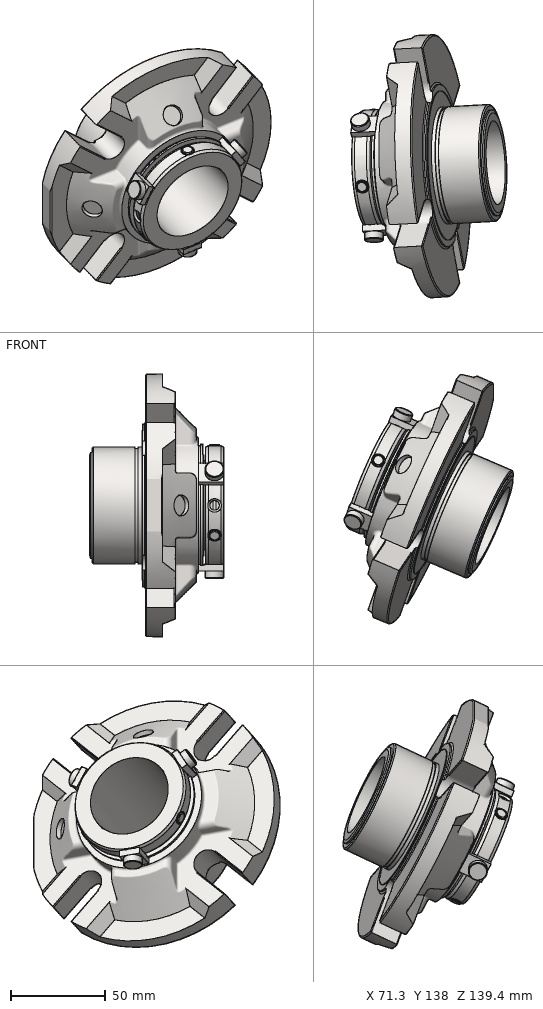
import cadquery as cq
import math

TOWARD_FRONT = 90
TOWARD_BACK = 270
QUARTERS = (0, 90, 180, 270)
THIRDS = (0, 120, 240)
tolerance = 0.1

bore_r = 44.5 / 2
sleeve_r = 62.2 / 2
nose_r = 56.3 / 2
nose_face_r = 53 / 2
nose_length = 1.4
nose_chamfer = 0.5
sleeve_chamfer = 0.7
neck_r = 47.5 / 2
groove_r = 60.4 / 2
groove_start = 24.0
groove_width = 1.8

gasket_r = 79.3 / 2
gasket_x = 27.8
spigot_r = 43.2
spigot_x = 28.2
spigot_root_r = 44.3
spigot_root_length = 0.5

flange_r = 69.7
flange_back = 29.5
flange_front = 38.8
edge_chamfer = 0.7
flat_offset = 68.3

pad_front = 45.5
pad_top_half = 17.7
pad_base_half = 23.3
slot_width = 14.2
slot_center_r = 47.4
slot_chamfer = 0.5

cone_base_r = 58.5
hub_r = 35.8
hub_end = 57.7
lug_width = 34.3
lug_end = 56.6
short_lug_end = 53.5
lug_corner_r = 3.5
pocket_fillet = 1.4
lug_edge_fillet = 1.1
port_d = 11.0
port_depth = 2.6
front_port_x = 48.7
top_port_x = 51.7

shoulder_r = 31.8
shoulder_end = 58.8
disc_r = 65.0 / 2
disc_end = 60.1
step_r = 26.8
step_end = 60.7

collar_r = 63.5 / 2
collar_start = 61.4
collar_end = 71.3
collar_chamfer_length = 1.7
collar_chamfer_depth = 0.8
collar_mid = (collar_start + collar_end) / 2
screw_sink_d = 7.5
screw_d = 6.0
screw_tip_d = 5.0
screw_tip_chamfer = (screw_d - screw_tip_d) / 2
screw_tip_r = 32.2
screw_sink_depth = 1.3
driver_slot = 1.5
driver_slot_depth = 0.7
clip_width = 11.5
clip_inner_r = 31.4
clip_outer_r = 34.9
clip_head_d = 10.0
clip_head_r = 38.8
clip_head_chamfer = 0.4


def turned(points):
    """Solid of revolution about X from (x, radius) points."""
    return cq.Workplane("XY").polyline(points).close().revolve(360, (0, 0, 0), (1, 0, 0))


def turned_to(solid, angle):
    """Turn a solid built pointing along +Z to another direction around X."""
    return solid.rotate((0, 0, 0), (1, 0, 0), angle)


def radial_prism(section, inner_r, outer_r):
    """Prism along +Z from a section of (x, y) points."""
    prism = cq.Workplane("XY").workplane(offset=inner_r).polyline(section).close()
    return prism.extrude(outer_r - inner_r)


def radial_rod(x, diameter, inner_r, outer_r):
    """Round rod along +Z at the axial place x."""
    rod = cq.Workplane("XY").workplane(offset=inner_r).center(x, 0).circle(diameter / 2)
    return rod.extrude(outer_r - inner_r)


def cone_r(x):
    """Radius of the 45 degree gland cone."""
    return cone_base_r - (x - flange_front)


def make_flange():
    """Disc with four raised bolt pads, trimmed to the rim and the flat."""
    blank_r = flange_r + 7
    flange = turned([
        (flange_back, 0),
        (flange_back, blank_r),
        (flange_front, blank_r),
        (flange_front, 0),
    ])
    pad = radial_prism([
        (flange_back, -pad_base_half),
        (flange_front, -pad_base_half),
        (pad_front, -pad_top_half),
        (pad_front, pad_top_half),
        (flange_front, pad_base_half),
        (flange_back, pad_base_half),
    ], hub_r, blank_r - 1.4)
    for angle in QUARTERS:
        flange = flange.union(turned_to(pad, angle + 45), clean=False)
    rim = turned([
        (flange_back, 0),
        (flange_back, flange_r - edge_chamfer),
        (flange_back + edge_chamfer, flange_r),
        (pad_front, flange_r),
        (pad_front, 0),
    ])
    flat_cut = (
        cq.Workplane("XY")
        .polyline([
            (flange_back, -flat_offset + edge_chamfer),
            (flange_back + edge_chamfer, -flat_offset),
            (flange_front - edge_chamfer, -flat_offset),
            (flange_front, -flat_offset + edge_chamfer),
            (flange_front, -blank_r),
            (flange_back, -blank_r),
        ])
        .close()
        .extrude(pad_top_half, both=True)
    )
    return flange.intersect(rim, clean=False).cut(flat_cut, clean=False)


def make_lug(end):
    """Block along +Z with a rounded outer end."""
    lug = radial_prism([
        (flange_back, -lug_width / 2),
        (end, -lug_width / 2),
        (end, lug_width / 2),
        (flange_back, lug_width / 2),
    ], 0, flange_r)
    return lug.edges("|Z and >X").fillet(lug_corner_r)


def is_pocket_corner(edge):
    """True for the inside corners where a lug, the hub and the pocket floor meet."""
    box = edge.BoundingBox()
    middle = edge.Center()
    beside_lug = min(abs(middle.y), abs(middle.z)) > lug_width / 4
    above_floor = box.xmin > pad_front - tolerance
    on_floor = box.xmax < pad_front + tolerance
    middle_r = math.hypot(middle.y, middle.z)
    touches_hub = middle_r < hub_r + 1.4
    touches_rim = middle_r > cone_base_r
    return beside_lug and above_floor and (touches_hub or on_floor) and not touches_rim


def make_gland():
    """Lugs and hub on a round base, rounded in the pockets and trimmed to the cone."""
    gland = turned([
        (flange_back, 0),
        (flange_back, flange_r),
        (pad_front, flange_r),
        (pad_front, hub_r),
        (hub_end, hub_r),
        (hub_end, 0),
    ])
    for angle in QUARTERS:
        end = short_lug_end if angle == TOWARD_BACK else lug_end
        gland = gland.union(turned_to(make_lug(end), angle), clean=False)
    blank_r = cone_base_r + 5.6
    blank = cq.Workplane("YZ").circle(blank_r).extrude(collar_end)
    gland = gland.clean().intersect(blank)
    gland = gland.edges().filter(is_pocket_corner).fillet(pocket_fillet)

    envelope = turned([
        (flange_back, 0),
        (flange_back, cone_base_r),
        (flange_front, cone_base_r),
        (hub_end, cone_r(hub_end)),
        (hub_end, 0),
    ])
    gland = gland.intersect(envelope)
    return gland.edges("%HYPERBOLA").fillet(lug_edge_fillet)


def make_slot_cut():
    """Open bolt slot along +Z with a round inner end and chamfered straight edges."""
    half = slot_width / 2
    wide = half + slot_chamfer
    slot = radial_prism([
        (flange_back, -wide),
        (flange_back + slot_chamfer, -half),
        (pad_front - slot_chamfer, -half),
        (pad_front, -wide),
        (pad_front, wide),
        (pad_front - slot_chamfer, half),
        (flange_back + slot_chamfer, half),
        (flange_back, wide),
    ], slot_center_r, flange_r + 1.4)
    inner_end = (
        cq.Workplane("YZ")
        .center(0, slot_center_r)
        .circle(half)
        .extrude(pad_front)
    )
    return slot.union(inner_end)


def make_port_cut(x):
    """Shallow round recess square to the cone, on the +Z lug."""
    mouth = cq.Plane(origin=(x, 0, cone_r(x)), xDir=(0, 1, 0), normal=(1, 0, 1))
    return cq.Workplane(mouth).circle(port_d / 2).extrude(-port_depth)


def make_back_spigot():
    """Gasket face and spigot, flared where it joins the flange."""
    return turned([
        (gasket_x, 0),
        (gasket_x, gasket_r),
        (spigot_x, gasket_r),
        (spigot_x, spigot_r),
        (flange_back - spigot_root_length, spigot_r),
        (flange_back, spigot_root_r),
        (flange_back, 0),
    ])


def make_sleeve():
    """Shaft sleeve with the rings behind the hub and the drive collar, without its bore."""
    return turned([
        (0, 0),
        (0, nose_face_r),
        (nose_chamfer, nose_r),
        (nose_length, nose_r),
        (nose_length, sleeve_r - sleeve_chamfer),
        (nose_length + sleeve_chamfer, sleeve_r),
        (groove_start, sleeve_r),
        (groove_start, groove_r),
        (groove_start + groove_width, groove_r),
        (groove_start + groove_width, sleeve_r),
        (hub_end, sleeve_r),
        (hub_end, shoulder_r),
        (shoulder_end, shoulder_r),
        (shoulder_end, disc_r),
        (disc_end, disc_r),
        (disc_end, step_r),
        (step_end, step_r),
        (step_end, neck_r),
        (collar_start, neck_r),
        (collar_start, collar_r - collar_chamfer_depth),
        (collar_start + collar_chamfer_length, collar_r),
        (collar_end - collar_chamfer_length, collar_r),
        (collar_end, collar_r - collar_chamfer_depth),
        (collar_end, 0),
    ])


def make_clip():
    """Setting clip along +Z: a plate from the hub to the collar end, with a screw head."""
    plate = radial_prism([
        (hub_end, -clip_width / 2),
        (collar_end, -clip_width / 2),
        (collar_end, clip_width / 2),
        (hub_end, clip_width / 2),
    ], clip_inner_r, clip_outer_r)
    head_x = collar_end - clip_head_d / 2
    head = radial_rod(head_x, clip_head_d, collar_r - collar_chamfer_depth, clip_head_r)
    return plate.union(head.faces(">Z").chamfer(clip_head_chamfer))


def make_screw_sink():
    """Conical recess into the collar along +Z, tapering to the screw tip size."""
    floor_r = collar_r - screw_sink_depth
    sink = cq.Workplane("XY").workplane(offset=floor_r).center(collar_mid, 0).circle(screw_tip_d / 2)
    sink = sink.workplane(offset=screw_sink_depth).circle(screw_sink_d / 2).loft()
    return sink.union(radial_rod(collar_mid, screw_sink_d, collar_r, screw_tip_r))


def make_set_screw():
    """Set screw along +Z standing slightly proud of the collar."""
    screw = radial_rod(collar_mid, screw_d, neck_r, screw_tip_r)
    return screw.faces(">Z").chamfer(screw_tip_chamfer)


def make_driver_slot():
    """Screwdriver slot across the floor of the recess along +Z."""
    floor_r = collar_r - screw_sink_depth
    slot = cq.Workplane("XY").workplane(offset=floor_r).center(collar_mid, 0)
    return slot.rect(driver_slot, screw_tip_d).extrude(-driver_slot_depth)


result = make_flange().union(make_gland()).union(make_back_spigot(), clean=False)
for angle in QUARTERS:
    result = result.cut(turned_to(make_slot_cut(), angle + 45), clean=False)
result = result.cut(turned_to(make_port_cut(front_port_x), TOWARD_FRONT), clean=False)
result = result.cut(make_port_cut(top_port_x), clean=False)
result = result.union(make_sleeve(), clean=False)

for angle in THIRDS:
    result = result.union(turned_to(make_clip(), angle + 60), clean=False)
    result = result.cut(turned_to(make_screw_sink(), angle), clean=False)
    result = result.union(turned_to(make_set_screw(), angle), clean=False)
result = result.cut(turned_to(make_screw_sink(), TOWARD_FRONT), clean=False)
result = result.cut(turned_to(make_driver_slot(), TOWARD_FRONT), clean=False)

bore = cq.Workplane("YZ").circle(bore_r).extrude(collar_end)
result = result.cut(bore, clean=False)